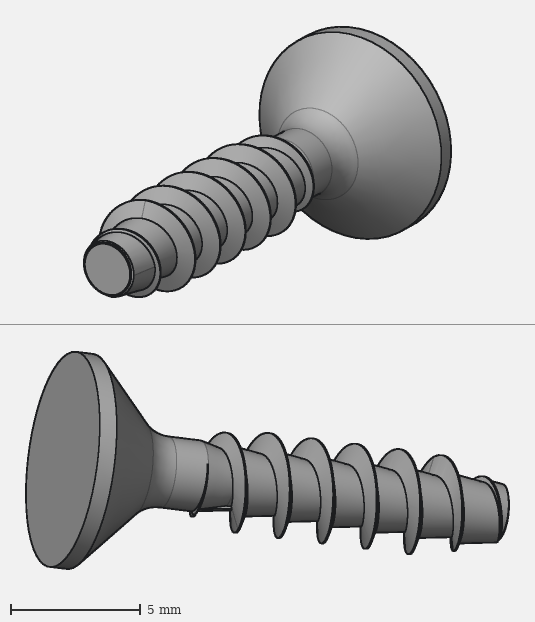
import cadquery as cq
import math

length = 18.0

head_radius = 4.2
rim_depth = 0.7
cone_angle = math.radians(45.0)
neck_fillet = 1.6
shank_radius = 1.39
shank_end_depth = 5.48

core_radius = 1.08
tip_chamfer = 0.04
core_taper_slope = 0.25

pitch = 1.79
turns = 7.0
run_in_turns = 0.25
grow_turns = 1.0
fade_turns = 1.5
crest_radius = 2.0
crest_start_radius = 1.56
crest_width = 0.06
head_flank_slope = 0.3
tip_flank_slope = 0.39
ridge_root_radius = 0.95
start_angle = math.radians(-90.0)
end_clearance = 0.02
tip_edge_depth = length - tip_chamfer
start_depth = length - end_clearance - turns * pitch

wedge_radius = 1.38
wedge_slope = 0.142
wedge_fade_turns = 0.75
wedge_gap = 0.06
wedge_width = pitch - wedge_gap
wedge_root_radius = 0.65

points_per_turn = 16


def interpolate(value, knots):
    """Piecewise linear value through (position, height) knots."""
    for (x0, y0), (x1, y1) in zip(knots, knots[1:]):
        if value <= x1:
            return y0 + (y1 - y0) * (value - x0) / (x1 - x0)
    return knots[-1][1]


def ridge_section(turn):
    """Corners (axial offset, radius) of the ridge after a number of turns."""
    crest = interpolate(
        turn,
        [
            (-run_in_turns, shank_radius),
            (0.0, crest_start_radius),
            (grow_turns, crest_radius),
            (turns - fade_turns, crest_radius),
            (turns, core_radius),
        ],
    )
    height = crest - ridge_root_radius
    half_crest = crest_width / 2
    return [
        (-half_crest - height * head_flank_slope, ridge_root_radius),
        (-half_crest, crest),
        (half_crest, crest),
        (half_crest + height * tip_flank_slope, ridge_root_radius),
    ]


def wedge_section(turn):
    """Corners (axial offset, radius) of the tapered wedge after a number of turns."""
    high_radius = interpolate(
        turn,
        [(0.0, wedge_radius), (turns - wedge_fade_turns, wedge_radius), (turns, core_radius)],
    )
    low_radius = high_radius - wedge_slope * wedge_width
    return [
        (0.0, wedge_root_radius),
        (0.0, high_radius),
        (wedge_width, low_radius),
        (wedge_width, wedge_root_radius),
    ]


def helix_point(turn, corner):
    """Place a section corner in space; before turn zero the path stays at the start depth."""
    offset, radius = corner
    angle = start_angle + 2 * math.pi * turn
    depth = start_depth + pitch * max(turn, 0.0) + offset
    return cq.Vector(radius * math.cos(angle), -depth, radius * math.sin(angle))


def helical_solid(section, first_turn, last_turn):
    """Solid between two turns, bounded by ruled faces between the helices of the section corners."""
    steps = math.ceil((last_turn - first_turn) * points_per_turn)
    stations = [first_turn + (last_turn - first_turn) * i / steps for i in range(steps + 1)]
    corner_count = len(section(first_turn))
    helices = [
        cq.Edge.makeSpline([helix_point(turn, section(turn)[corner]) for turn in stations])
        for corner in range(corner_count)
    ]
    faces = [cq.Face.makeRuledSurface(helices[i - 1], helices[i]) for i in range(corner_count)]
    for turn in (first_turn, last_turn):
        corners = [helix_point(turn, corner) for corner in section(turn)]
        faces.append(cq.Face.makeFromWires(cq.Wire.makePolygon(corners, close=True)))
    solid = cq.Solid.makeSolid(cq.Shell.makeShell(faces))
    return cq.Workplane("XY").newObject([solid.fix()])


def make_helical(section, knots):
    """Helical solids between consecutive turn counts, joined."""
    body = helical_solid(section, knots[0], knots[1])
    for first_turn, last_turn in zip(knots[1:], knots[2:]):
        body = body.union(helical_solid(section, first_turn, last_turn))
    return body


def make_blank():
    """Head, neck, shank and core as one turned body."""
    neck_drop = neck_fillet * (1 - math.cos(cone_angle))
    cone_end_radius = shank_radius + neck_drop
    cone_end_depth = rim_depth + (head_radius - cone_end_radius) / math.tan(cone_angle)
    neck_end_depth = cone_end_depth + neck_fillet * math.sin(cone_angle)
    half_angle = cone_angle / 2
    neck_mid_depth = neck_end_depth - neck_fillet * math.sin(half_angle)
    neck_mid_radius = shank_radius + neck_fillet * (1 - math.cos(half_angle))
    taper_end_depth = shank_end_depth + (shank_radius - core_radius) / core_taper_slope
    return (
        cq.Workplane("YZ")
        .moveTo(0, 0)
        .lineTo(0, head_radius)
        .lineTo(-rim_depth, head_radius)
        .lineTo(-cone_end_depth, cone_end_radius)
        .threePointArc((-neck_mid_depth, neck_mid_radius), (-neck_end_depth, shank_radius))
        .lineTo(-shank_end_depth, shank_radius)
        .lineTo(-taper_end_depth, core_radius)
        .lineTo(-tip_edge_depth, core_radius)
        .lineTo(-length, core_radius - tip_chamfer)
        .lineTo(-length, 0)
        .close()
        .revolve(360, (0, 0, 0), (1, 0, 0))
    )


def make_zone(first_depth):
    """Cylinder from a depth to the tip chamfer, wide enough to hold the thread."""
    return (
        cq.Workplane("XZ", origin=(0, -first_depth, 0))
        .circle(head_radius)
        .extrude(tip_edge_depth - first_depth)
    )


ridge = make_helical(ridge_section, [-run_in_turns, 0.0, grow_turns, turns - fade_turns, turns])
wedge = make_helical(wedge_section, [0.0, turns - wedge_fade_turns, turns])
ridge = ridge.intersect(make_zone(start_depth))
wedge = wedge.intersect(make_zone(shank_end_depth))
result = make_blank().union(wedge).union(ridge).solids()